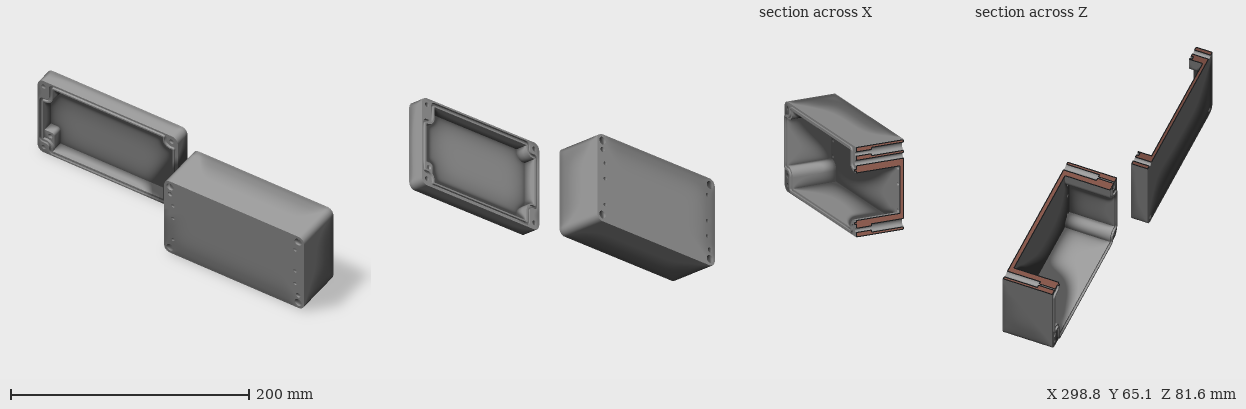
import cadquery as cq

LENGTH = 140.0
WIDTH = 80.0
CORNER_RADIUS = 6.0
SCREW_INSET = 6.0

BASE_DEPTH = 45.0
LID_DEPTH = 15.0
LIP_HEIGHT = 1.5
LIP_CLEARANCE = 0.3
BASE_FLOOR = 4.0
LID_FLOOR = 3.0

RIM_WIDTH = 1.5
SEAL_WIDTH = 2.5
LAND_WIDTH = 1.4
WALL = RIM_WIDTH + SEAL_WIDTH + LAND_WIDTH
SEAL_OUTER_OFFSET = SEAL_WIDTH + LAND_WIDTH
GROOVE_DEPTH = 2.0

PILLAR_LENGTH = 15.0
SHORT_PILLAR_WIDTH = PILLAR_LENGTH
LONG_PILLAR_WIDTH = 23.1
PILLAR_RADIUS = 7.5

LID_SCREW_DIAMETER = 4.3
BASE_SCREW_DIAMETER = 3.4
COUNTERBORE_DIAMETER = 7.0
COUNTERBORE_DEPTH = 30.0
WALL_MOUNT_DIAMETER = 4.5
WALL_MOUNT_HEIGHT = 25.9
FLOOR_HOLE_DIAMETER = 3.2
FLOOR_HOLE_X = 61.0
FLOOR_HOLE_HEIGHTS = (14.0, 0.0, -23.8)

BOSS_LENGTH = PILLAR_LENGTH
BOSS_WIDTH = 23.3
BOSS_RADIUS = 3.0
BOSS_RECESS = 2.4
BOSS_HOLE_DIAMETER = 2.4
BOSS_HOLE_ENTRY_DIAMETER = 4.4
ENTRY_ANGLE = 45.0
BOSS_HOLE_DEPTH = 8.0
BOSS_HOLE_INSET_X = 11.1
BOSS_HOLE_INSET_Z = 18.8

TOTAL_LENGTH = 298.79
TOTAL_DEPTH = 65.12
TOTAL_WIDTH = 81.59
LID_X = LENGTH - TOTAL_LENGTH
LID_Z = WIDTH - TOTAL_WIDTH
LID_FRONT = TOTAL_DEPTH - LID_DEPTH

SCREW_POINTS = [
    (side * (LENGTH / 2 - SCREW_INSET), end * (WIDTH / 2 - SCREW_INSET))
    for side in (-1, 1)
    for end in (-1, 1)
]


def plane_at(y):
    """Sketch plane at depth y, with local x along X and local y along Z."""
    return cq.Workplane("XZ", origin=(0, y, 0))


def block(y_start, depth):
    return plane_at(y_start).rect(LENGTH, WIDTH).extrude(-depth).edges("|Y").fillet(CORNER_RADIUS)


def drill(points, diameter, y_start, depth):
    return plane_at(y_start).pushPoints(points).circle(diameter / 2).extrude(-depth)


def cavity(y_start, depth):
    """Interior space: a rectangle notched by short and long pillars on opposite corners."""
    space = plane_at(y_start).rect(LENGTH - 2 * WALL, WIDTH - 2 * WALL).extrude(-depth)
    for side in (-1, 1):
        for end in (-1, 1):
            pillar_width = SHORT_PILLAR_WIDTH if side == end else LONG_PILLAR_WIDTH
            pillar = (
                plane_at(y_start)
                .center(side * LENGTH / 2, end * WIDTH / 2)
                .rect(2 * PILLAR_LENGTH, 2 * pillar_width)
                .extrude(-depth)
                .edges("|Y")
                .fillet(PILLAR_RADIUS)
            )
            space = space.cut(pillar)
    return space


def seal_ring(y_start, depth, clearance=0.0):
    """Closed band around the cavity outline, narrowed on both sides by the clearance."""
    outline = cavity(y_start, depth).faces("<Y").wires()
    outer = outline.toPending().offset2D(SEAL_OUTER_OFFSET - clearance).extrude(-depth)
    inner = outline.toPending().offset2D(LAND_WIDTH + clearance).extrude(-depth)
    return outer.cut(inner)


def make_base():
    base = block(0, BASE_DEPTH)
    base = base.union(seal_ring(BASE_DEPTH, LIP_HEIGHT, LIP_CLEARANCE))
    base = base.cut(cavity(BASE_FLOOR, BASE_DEPTH - BASE_FLOOR))

    base = base.cut(drill(SCREW_POINTS, BASE_SCREW_DIAMETER, 0, BASE_DEPTH))
    base = base.cut(drill(SCREW_POINTS, COUNTERBORE_DIAMETER, 0, COUNTERBORE_DEPTH))

    wall_mount_x = LENGTH / 2 - SCREW_INSET
    wall_mounts = [(-wall_mount_x, WALL_MOUNT_HEIGHT), (wall_mount_x, -WALL_MOUNT_HEIGHT)]
    base = base.cut(drill(wall_mounts, WALL_MOUNT_DIAMETER, 0, BASE_DEPTH))

    floor_holes = [(side * FLOOR_HOLE_X, -side * z) for side in (-1, 1) for z in FLOOR_HOLE_HEIGHTS]
    return base.cut(drill(floor_holes, FLOOR_HOLE_DIAMETER, 0, BASE_FLOOR))


def earthing_boss():
    """Rounded block in the low-X, low-Z corner, set below the rim, with a countersunk blind hole."""
    boss = (
        plane_at(BOSS_RECESS)
        .center(-LENGTH / 2, -WIDTH / 2)
        .rect(2 * BOSS_LENGTH, 2 * BOSS_WIDTH)
        .extrude(BOSS_RECESS - LID_DEPTH)
        .edges("|Y")
        .fillet(BOSS_RADIUS)
    )
    boss = boss.intersect(block(0, LID_DEPTH))
    hole_center = plane_at(BOSS_RECESS).center(
        -LENGTH / 2 + BOSS_HOLE_INSET_X, -WIDTH / 2 + BOSS_HOLE_INSET_Z
    )
    hole = hole_center.circle(BOSS_HOLE_DIAMETER / 2).extrude(-BOSS_HOLE_DEPTH)
    entry_depth = (BOSS_HOLE_ENTRY_DIAMETER - BOSS_HOLE_DIAMETER) / 2
    entry = hole_center.circle(BOSS_HOLE_ENTRY_DIAMETER / 2).extrude(-entry_depth, taper=ENTRY_ANGLE)
    return boss.cut(hole).cut(entry)


def make_lid():
    lid = block(0, LID_DEPTH).cut(cavity(0, LID_DEPTH - LID_FLOOR))
    lid = lid.union(earthing_boss())
    lid = lid.cut(seal_ring(0, GROOVE_DEPTH))
    lid = lid.cut(drill(SCREW_POINTS, LID_SCREW_DIAMETER, 0, LID_DEPTH))
    return lid.translate((LID_X, LID_FRONT, LID_Z))


base = make_base()
lid = make_lid()
result = cq.Compound.makeCompound([base.val(), lid.val()])